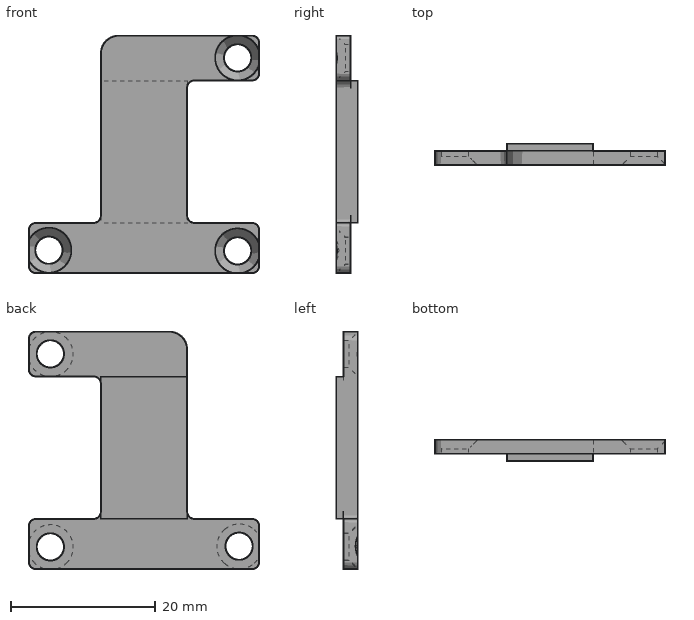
import cadquery as cq

width = 32.0
height = 33.0
thickness = 2.0
foot_height = 7.0
arm_height = 6.25
web_left = 10.0
web_width = 12.0
web_right = web_left + web_width
arm_bottom = height - arm_height

corner_radius = 1.0
shoulder_radius = 2.5

pad_height = 1.0
pad_bottom = foot_height
pad_top = arm_bottom

hole_diameter = 3.75
sink_diameter = 6.25
sink_angle = 90.0
right_hole_x = 29.0
right_hole_inset = 3.1
left_hole_center = (2.8, 3.2)
hole_centers = [
    left_hole_center,
    (right_hole_x, right_hole_inset),
    (right_hole_x, height - right_hole_inset),
]


def make_plate():
    """Flat plate: a wide foot, an upright web and an arm at the top right."""
    outline = [
        (0, 0),
        (width, 0),
        (width, foot_height),
        (web_right, foot_height),
        (web_right, arm_bottom),
        (width, arm_bottom),
        (width, height),
        (web_left, height),
        (web_left, foot_height),
        (0, foot_height),
    ]
    plate = cq.Workplane("XZ").polyline(outline).close().extrude(-thickness)
    for x, z in outline:
        is_shoulder = (x, z) == (web_left, height)
        radius = shoulder_radius if is_shoulder else corner_radius
        corner = cq.selectors.NearestToPointSelector((x, thickness / 2, z))
        plate = plate.edges("|Y").edges(corner).fillet(radius)
    return plate


def make_pad():
    """Rectangular pad standing on the back face of the web."""
    pad = cq.Workplane("XY").box(web_width, pad_height, pad_top - pad_bottom, centered=False)
    return pad.translate((web_left, thickness, pad_bottom))


def cut_screw_holes(body):
    """Through holes, countersunk from the front face."""
    front = body.copyWorkplane(cq.Workplane("XZ"))
    return front.pushPoints(hole_centers).cskHole(hole_diameter, sink_diameter, sink_angle)


result = cut_screw_holes(make_plate().union(make_pad()))